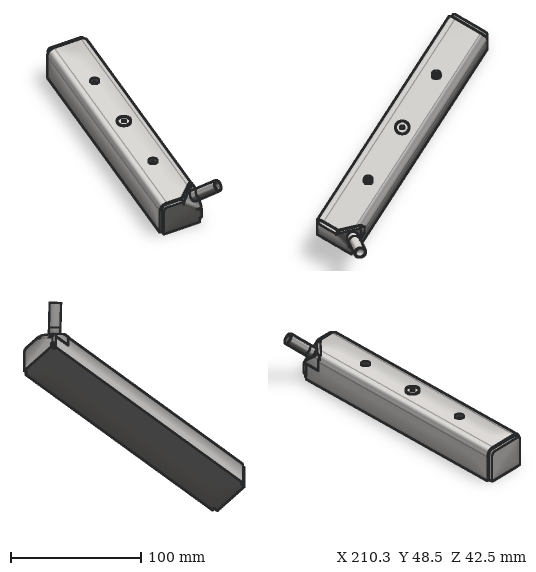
import cadquery as cq
import math

length = 200.0
width = 35.1
height = 29.0
shell_radius = 6.0
end_reveal = 3.2

core_width = 31.0
core_height = height - 1.7
core_radius = 3.0

notch_leg = 19.3
notch_length = 16.2
notch_floor = height / 2

boss_azimuth = 45.0
boss_elevation = 38.0
boss_x = 191.8
boss_y = 10.3
boss_top = height - 0.5
boss_width = 25.2
boss_depth = 25.2
boss_length = 33.6
boss_radius = 4.6
boss_side_inset = 0.5
boss_envelope_radius = 4.2
boss_end_radius = 6.3

cable_outer = 9.0
cable_inner = 7.5
cable_azimuth = 50.0
cable_elevation = 38.5
cable_x = 194.3
cable_y = 13.0
cable_z = 24.0
cable_embed = 6.3
cable_length = 24.0
cable_bore_depth = 19.0

mid_length = length / 2
hole_spacing = 100.1
counterbore_diameter = 7.0
counterbore_depth = 6.3
hole_diameter = 5.0
hole_depth = 12.6
ring_outer = 11.0
ring_inner = 10.0
center_hole_diameter = 3.2
groove_depth = 0.6


def direction(azimuth, elevation):
    """Unit vector from an azimuth about Z and an elevation above the XY plane, in degrees."""
    az = math.radians(azimuth)
    el = math.radians(elevation)
    return cq.Vector(math.cos(az) * math.cos(el), math.sin(az) * math.cos(el), math.sin(el))


def arched_bar(bar_length, bar_width, bar_height, radius):
    """Bar along X, centred on the housing, with both long top edges rounded."""
    return (
        cq.Workplane("XY")
        .box(bar_length, bar_width, bar_height, centered=(True, True, False))
        .edges("|X and >Z")
        .fillet(radius)
        .translate((mid_length, 0, 0))
    )


def corner_notch():
    """Upper corner of the housing that makes room for the boss, bounded by a 45 degree cut."""
    side = width / 2
    start = length - notch_length
    shell_end = length - end_reveal
    return (
        cq.Workplane("XY")
        .workplane(offset=notch_floor)
        .moveTo(start, side)
        .lineTo(start, side - (notch_leg - notch_length))
        .lineTo(shell_end, side - notch_leg + end_reveal)
        .lineTo(length, side - notch_leg + end_reveal)
        .lineTo(length, side)
        .close()
        .extrude(height)
    )


def cable_boss():
    """Leaning bar trimmed to the housing, its square end rounded into the +X end face."""
    axis = direction(boss_azimuth, boss_elevation)
    frame = cq.Plane(origin=(boss_x, boss_y, boss_top), xDir=(-1, 1, 0), normal=axis)
    bar = cq.Workplane(frame).center(0, -boss_depth / 2).rect(boss_width, boss_depth).extrude(-boss_length)
    bar = bar.edges(cq.selectors.ParallelDirSelector(axis)).fillet(boss_radius)
    envelope = arched_bar(length, width - 2 * boss_side_inset, height, boss_envelope_radius)
    outer_edge = cq.selectors.ParallelDirSelector(axis.cross(cq.Vector(1, 0, 0)))
    return bar.intersect(envelope).edges(outer_edge).fillet(boss_end_radius)


def cable_section(diameter, start, end):
    """Cylinder along the cable axis between two distances from the cable root."""
    root = cq.Vector(cable_x, cable_y, cable_z)
    axis = direction(cable_azimuth, cable_elevation)
    plane = cq.Plane(origin=(root + axis * start).toTuple(), normal=axis)
    return cq.Workplane(plane).circle(diameter / 2).extrude(end - start)


core = arched_bar(length, core_width, core_height, core_radius)
shell = arched_bar(length - 2 * end_reveal, width, height, shell_radius)
result = core.union(shell).cut(corner_notch()).union(cable_boss())

result = result.union(cable_section(cable_outer, -cable_embed, cable_length))
result = result.cut(cable_section(cable_inner, cable_length - cable_bore_depth, cable_length))

top_center = cq.Workplane("XY").workplane(offset=height).center(mid_length, 0)
for side in (-1, 1):
    hole = top_center.center(side * hole_spacing / 2, 0)
    result = result.cut(hole.circle(counterbore_diameter / 2).extrude(-counterbore_depth))
    result = result.cut(hole.circle(hole_diameter / 2).extrude(-hole_depth))

result = result.cut(top_center.circle(ring_outer / 2).circle(ring_inner / 2).extrude(-groove_depth))
result = result.cut(top_center.circle(center_hole_diameter / 2).extrude(-hole_depth))